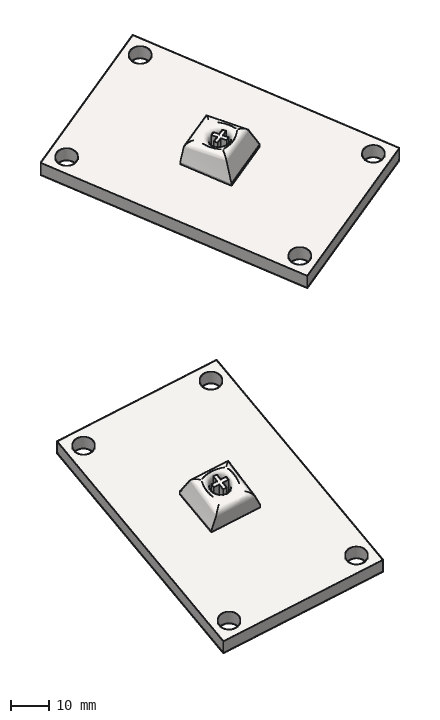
import cadquery as cq
import math

plate_length = 80.0
plate_width = 50.0
plate_thickness = 5.0
mount_hole_diameter = 6.0
mount_hole_inset = 5.0

cap_size = 15.4
skirt_height = 0.9
top_left = -7.4
top_right = 4.7
top_width = 11.2
top_tilt = 7.0
top_height = 7.8
edge_radius = 2.0

well_diameter = 5.8
well_rim_radius = 2.0
cross_length = 4.6
cross_arm_width = 1.1

slope = math.tan(math.radians(top_tilt))
top_z = plate_thickness + top_height
skirt_top_z = plate_thickness + skirt_height


def make_plate():
    """Rectangular plate with a through hole near each corner."""
    spacing_x = plate_length - 2 * mount_hole_inset
    spacing_y = plate_width - 2 * mount_hole_inset
    return (
        cq.Workplane("XY")
        .box(plate_length, plate_width, plate_thickness, centered=(True, True, False))
        .faces(">Z")
        .workplane()
        .rect(spacing_x, spacing_y, forConstruction=True)
        .vertices()
        .hole(mount_hole_diameter)
    )


def rectangle_wire(left, right, width, height_at):
    """Closed rectangle whose height at each end is height_at(x)."""
    corners = [(left, -width / 2), (right, -width / 2), (right, width / 2), (left, width / 2)]
    points = [cq.Vector(x, y, height_at(x)) for x, y in corners]
    return cq.Wire.makePolygon(points, close=True)


def sloping_height(x):
    return top_z + slope * x


def make_cap_body():
    """Skirt and tapered body with the edges of the sloping top rounded."""
    half = cap_size / 2
    base = rectangle_wire(-half, half, cap_size, lambda x: skirt_top_z)
    top = rectangle_wire(top_left, top_right, top_width, sloping_height)
    body = cq.Workplane(obj=cq.Solid.makeLoft([base, top], True))
    body = body.faces(">Z").edges().fillet(edge_radius)
    skirt = (
        cq.Workplane("XY", origin=(0, 0, plate_thickness))
        .rect(cap_size, cap_size)
        .extrude(skirt_height)
    )
    return skirt.union(body)


def make_sloping_block():
    """Block wider than the cap, from the plate up to the plane of the sloping top."""
    reach = cap_size
    return (
        cq.Workplane("XZ")
        .polyline([
            (-reach, plate_thickness),
            (reach, plate_thickness),
            (reach, sloping_height(reach)),
            (-reach, sloping_height(-reach)),
        ])
        .close()
        .extrude(reach, both=True)
    )


def make_well_parts():
    """Sloping block pierced by the round-rimmed well, and the cross that stands in it."""
    block = make_sloping_block()
    well = cq.Workplane("XY").circle(well_diameter / 2).extrude(2 * top_z)
    rim = cq.selectors.BoxSelector(
        (-well_diameter, -well_diameter, skirt_top_z),
        (well_diameter, well_diameter, 2 * top_z),
    )
    pierced = block.cut(well).edges(rim).fillet(well_rim_radius)
    arm_x = cq.Workplane("XY").rect(cross_length, cross_arm_width).extrude(2 * top_z)
    arm_y = cq.Workplane("XY").rect(cross_arm_width, cross_length).extrude(2 * top_z)
    cross = arm_x.union(arm_y).intersect(block)
    return pierced, cross


well_block, cross_post = make_well_parts()
cap = make_cap_body().intersect(well_block)
result = make_plate().union(cap).union(cross_post)